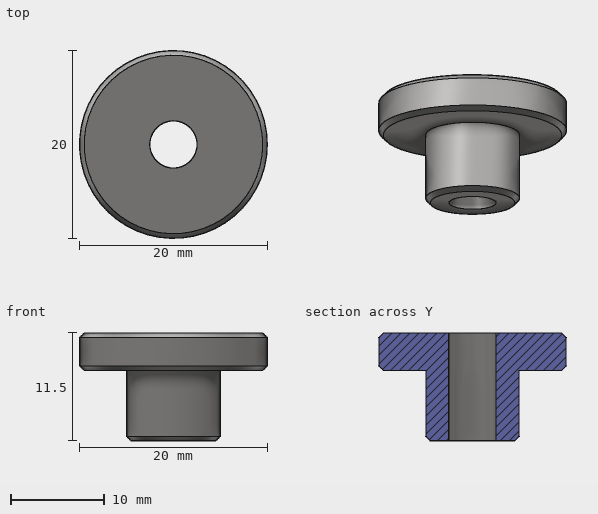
import cadquery as cq

flange_diameter = 20.0
flange_thickness = 4.0
shank_diameter = flange_diameter / 2
shank_length = 7.5
bore_diameter = shank_diameter / 2
edge_chamfer = 0.5

total_height = shank_length + flange_thickness

shank = (
    cq.Workplane("XY")
    .circle(shank_diameter / 2)
    .extrude(shank_length)
    .faces("<Z")
    .chamfer(edge_chamfer)
)

flange = (
    cq.Workplane("XY")
    .workplane(offset=shank_length)
    .circle(flange_diameter / 2)
    .extrude(flange_thickness)
    .faces("<Z or >Z")
    .chamfer(edge_chamfer)
)

bore = cq.Workplane("XY").circle(bore_diameter / 2).extrude(total_height)

result = shank.union(flange).cut(bore)